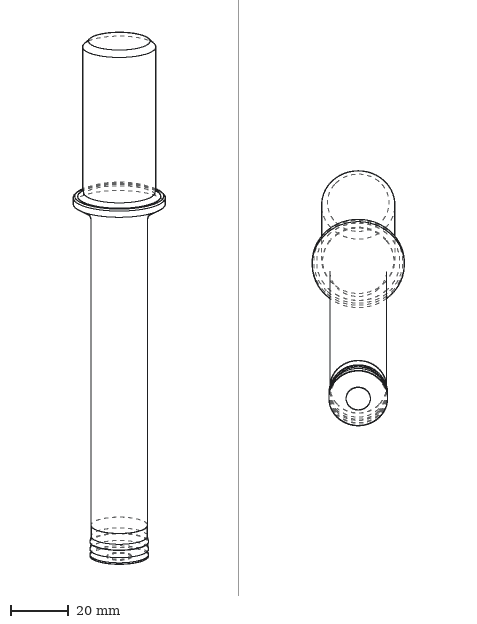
import cadquery as cq

TOTAL_LENGTH = 186.8

GRIP_RADIUS = 25.5 / 2
GRIP_TOP_CHAMFER = 2.0
GRIP_BOTTOM_Z = 132.0
GRIP_TAPER_HEIGHT = 1.5

COLLAR_RADIUS = 24.7 / 2
FLANGE_RADIUS = 32.0 / 2
FLANGE_TOP_Z = 130.8
FLANGE_CHAMFER = 0.5
FLANGE_RIM_BOTTOM_Z = 128.0
RECESS_RADIUS = 28.8 / 2
RECESS_DEPTH = 0.2
COLLAR_FILLET = 0.7
CONE_BOTTOM_RADIUS = 11.5
CONE_BOTTOM_Z = 125.4

SHAFT_RADIUS = 19.6 / 2
SHAFT_SHOULDER_Z = 122.0
SPIGOT_RADIUS = 19.5 / 2
SPIGOT_TOP_Z = 11.8

TIP_TOP_Z = 7.8
TIP_RADIUS = 20.4 / 2
UPPER_BAND_Z = 5.8
GROOVE_BOTTOM_Z = 5.0
LOWER_BAND_Z = 3.2
WAIST_Z = 2.0
FOOT_TOP_Z = 1.3
FOOT_BOTTOM_Z = 0.7
BOSS_RADIUS = 8.5 / 2
BOSS_DOME_HEIGHT = 0.4


def revolve_profile(profile):
    """Revolve a closed half profile, drawn in XZ, about the Z axis."""
    return profile.close().revolve(360, (0, 0, 0), (0, 1, 0))


def make_grip():
    length = TOTAL_LENGTH - GRIP_BOTTOM_Z
    grip = cq.Workplane("XY").workplane(offset=GRIP_BOTTOM_Z).circle(GRIP_RADIUS).extrude(length)
    grip = grip.faces(">Z").chamfer(GRIP_TOP_CHAMFER)
    return grip.faces("<Z").chamfer(GRIP_TAPER_HEIGHT, GRIP_RADIUS - COLLAR_RADIUS)


def make_shaft():
    recess_floor_z = FLANGE_TOP_Z - RECESS_DEPTH
    fillet_width = CONE_BOTTOM_RADIUS - SHAFT_RADIUS
    fillet_height = CONE_BOTTOM_Z - SHAFT_SHOULDER_Z
    fillet_radius = (fillet_width**2 + fillet_height**2) / (2 * fillet_width)
    profile = (
        cq.Workplane("XZ")
        .moveTo(0, TIP_TOP_Z)
        .lineTo(SPIGOT_RADIUS, TIP_TOP_Z)
        .lineTo(SPIGOT_RADIUS, SPIGOT_TOP_Z)
        .lineTo(SHAFT_RADIUS, SPIGOT_TOP_Z)
        .lineTo(SHAFT_RADIUS, SHAFT_SHOULDER_Z)
        .radiusArc((CONE_BOTTOM_RADIUS, CONE_BOTTOM_Z), fillet_radius)
        .lineTo(FLANGE_RADIUS, FLANGE_RIM_BOTTOM_Z)
        .lineTo(FLANGE_RADIUS, FLANGE_TOP_Z - FLANGE_CHAMFER)
        .lineTo(FLANGE_RADIUS - FLANGE_CHAMFER, FLANGE_TOP_Z)
        .lineTo(RECESS_RADIUS, FLANGE_TOP_Z)
        .lineTo(RECESS_RADIUS, recess_floor_z)
        .lineTo(COLLAR_RADIUS + COLLAR_FILLET, recess_floor_z)
        .radiusArc((COLLAR_RADIUS, recess_floor_z + COLLAR_FILLET), COLLAR_FILLET)
        .lineTo(COLLAR_RADIUS, GRIP_BOTTOM_Z)
        .lineTo(0, GRIP_BOTTOM_Z)
    )
    return revolve_profile(profile)


def make_tip():
    dome_radius = (BOSS_RADIUS**2 + BOSS_DOME_HEIGHT**2) / (2 * BOSS_DOME_HEIGHT)
    profile = (
        cq.Workplane("XZ")
        .moveTo(0, TIP_TOP_Z)
        .lineTo(SPIGOT_RADIUS, TIP_TOP_Z)
        .lineTo(TIP_RADIUS, UPPER_BAND_Z)
        .lineTo(SPIGOT_RADIUS, UPPER_BAND_Z)
        .lineTo(SPIGOT_RADIUS, GROOVE_BOTTOM_Z)
        .lineTo(TIP_RADIUS, LOWER_BAND_Z)
        .threePointArc((SPIGOT_RADIUS, WAIST_Z), (TIP_RADIUS, FOOT_TOP_Z))
        .lineTo(TIP_RADIUS, FOOT_BOTTOM_Z)
        .lineTo(BOSS_RADIUS, FOOT_BOTTOM_Z)
        .lineTo(BOSS_RADIUS, BOSS_DOME_HEIGHT)
        .radiusArc((0, 0), dome_radius)
    )
    return revolve_profile(profile)


grip = make_grip()
shaft = make_shaft()
tip = make_tip()

result = cq.Compound.makeCompound([grip.val(), shaft.val(), tip.val()])